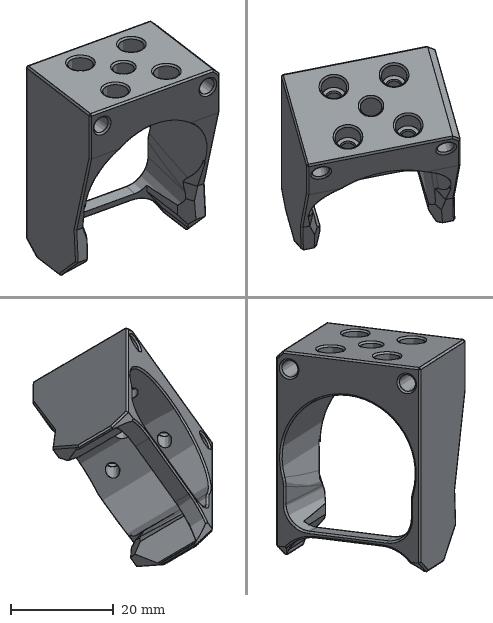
import cadquery as cq
import math

depth = 22.18
width = 30.8
height = 42.4
edge_break = 0.4
half_width = width / 2
pick_margin = 0.15

toe_rise = 2.75
toe_run = 3.85
sole_end = 11.6
heel = (17.6, 6.0)
waist = (17.1, 13.25)
back_bottom = 32.2
corner_bevel = 1.5

bore_radius = 14.15
bore_z = 20.78

pocket_floor = 6.45
pocket_half_front = 13.35
pocket_half_back = 11.3
pocket_corner = 5.0
pocket_blend = 5.98

bar_depth = 3.5
gap_half = 10.9
gap_bevel_top = 5.98
gap_bevel_bottom = 0.85
gap_foot_half = 14.6

flare_start = 13.8
flare_end = 18.65
flare_shoulder_z = 13.15
flare_ledge_z = 10.18
flare_top = 19.5
flare_upper_halves = (12.1, 14.3)
flare_lower_halves = (10.73, 13.45)

tunnel_top = 5.2
tunnel_radius = 8.0
tunnel_center_y = 7.12

screw_spacing = 12.05
screw_diameter = 2.8
shank_break = 0.25
head_diameter = 5.0
head_depth = 4.0
center_diameter = 4.2
pin_diameter = 3.4
pin_spacing = 25.0
pin_z = 38.95
hole_x = 11.3


def side_block():
    """Outer body with its bevelled top edge and broken outer edges."""
    outline = [
        (0, toe_rise),
        (toe_run, 0),
        (sole_end, 0),
        heel,
        waist,
        (depth, back_bottom),
        (depth, height),
        (0, height),
    ]
    block = cq.Workplane("XZ").polyline(outline).close().extrude(half_width, both=True)
    block = block.faces(">Z").edges(">Y").chamfer(corner_bevel)
    bevel_face = cq.selectors.DirectionMinMaxSelector(cq.Vector(0, 1, 1), True)
    rims = block.faces("<Y").edges()
    rims = rims.add(block.faces(">Y").edges("not >Z"))
    rims = rims.add(block.faces(">Z").edges("|Y"))
    rims = rims.add(block.faces(bevel_face).edges("#X"))
    return rims.chamfer(edge_break)


def opening():
    """Bore merged with the tapered pocket, blended where they meet."""
    bore = cq.Workplane("YZ").center(0, bore_z).circle(bore_radius).extrude(depth)
    plan = [
        (0, -pocket_half_front),
        (depth, -pocket_half_back),
        (depth, pocket_half_back),
        (0, pocket_half_front),
    ]
    pocket = (
        cq.Workplane("XY", origin=(0, 0, pocket_floor))
        .polyline(plan)
        .close()
        .extrude(bore_z - pocket_floor)
    )
    pocket = pocket.faces("<Z").edges("not |Y").fillet(pocket_corner)
    merged = bore.union(pocket)
    creases = cq.selectors.BoxSelector(
        (edge_break, -half_width, pocket_floor + pocket_corner + pick_margin),
        (depth - edge_break, half_width, bore_z - pick_margin),
    )
    return merged.edges(creases).fillet(pocket_blend)


def mirrored_section(plane, right_side):
    """Closed section from its +Y points (y, z) and their mirror images."""
    left_side = [(-y, z) for y, z in reversed(right_side)]
    return plane.polyline(right_side + left_side).close()


def gap_behind_bar():
    """Clear space between the legs behind the crossbar, wider near the soles."""
    right_side = [
        (gap_foot_half, 0),
        (gap_foot_half, gap_bevel_bottom),
        (gap_half, gap_bevel_top),
        (gap_half, bore_z),
    ]
    plane = cq.Workplane("YZ", origin=(bar_depth, 0, 0))
    return mirrored_section(plane, right_side).extrude(depth)


def back_flare():
    """Tapered cut that thins the legs toward their back edges."""
    start, end = (
        [(lower, 0), (lower, flare_ledge_z), (upper, flare_shoulder_z), (upper, flare_top)]
        for lower, upper in zip(flare_lower_halves, flare_upper_halves)
    )
    plane = cq.Workplane("YZ", origin=(flare_start, 0, 0))
    section = mirrored_section(plane, start).workplane(offset=flare_end - flare_start)
    return mirrored_section(section, end).loft(ruled=True)


def tunnel():
    """Arched passage under the crossbar, full depth."""
    center_z = tunnel_top - tunnel_radius
    reach = tunnel_center_y + tunnel_radius
    diagonal = tunnel_radius / math.sqrt(2)
    arc_y = tunnel_center_y + diagonal
    arc_z = center_z + diagonal
    return (
        cq.Workplane("YZ")
        .moveTo(-reach, center_z)
        .threePointArc((-arc_y, arc_z), (-tunnel_center_y, tunnel_top))
        .lineTo(tunnel_center_y, tunnel_top)
        .threePointArc((arc_y, arc_z), (reach, center_z))
        .close()
        .extrude(depth)
    )


def break_front_rims(body):
    """Chamfer the rims of the opening and of the tunnel on the front face."""
    rim_half = half_width - edge_break - pick_margin
    rims = cq.selectors.BoxSelector(
        (-pick_margin, -rim_half, toe_rise + pick_margin),
        (pick_margin, rim_half, bore_z + bore_radius + pick_margin),
    )
    return body.edges(rims).chamfer(edge_break)


def revolved_tool(profile):
    """Solid of revolution about Z from (radius, height) points."""
    return cq.Workplane("XZ").polyline(profile).close().revolve(360, (0, 0), (0, 1))


def screw_hole_tool():
    """Clearance hole with a counterbore for the screw head, both rims chamfered."""
    shoulder_z = height - head_depth
    shank = screw_diameter / 2
    head = head_diameter / 2
    profile = [
        (0, bore_z),
        (shank, bore_z),
        (shank, shoulder_z - shank_break),
        (shank + shank_break, shoulder_z),
        (head, shoulder_z),
        (head, height - edge_break),
        (head + edge_break, height),
        (0, height),
    ]
    return revolved_tool(profile)


def center_hole_tool():
    """Plain through hole with a chamfered mouth."""
    radius = center_diameter / 2
    profile = [
        (0, bore_z),
        (radius, bore_z),
        (radius, height - edge_break),
        (radius + edge_break, height),
        (0, height),
    ]
    return revolved_tool(profile)


def pin_hole_tool():
    """Through hole along X with both mouths chamfered."""
    radius = pin_diameter / 2
    mouth = radius + edge_break
    profile = [
        (0, 0),
        (mouth, 0),
        (radius, edge_break),
        (radius, depth - edge_break),
        (mouth, depth),
        (0, depth),
    ]
    return revolved_tool(profile).rotate((0, 0, 0), (0, 1, 0), 90)


body = side_block().cut(opening()).cut(tunnel()).cut(gap_behind_bar()).cut(back_flare())
body = break_front_rims(body)

half_spacing = screw_spacing / 2
for side_y in (-1, 1):
    for side_x in (-1, 1):
        screw_x = hole_x + side_x * half_spacing
        body = body.cut(screw_hole_tool().translate((screw_x, side_y * half_spacing, 0)))
    body = body.cut(pin_hole_tool().translate((0, side_y * pin_spacing / 2, pin_z)))

result = body.cut(center_hole_tool().translate((hole_x, 0, 0)))